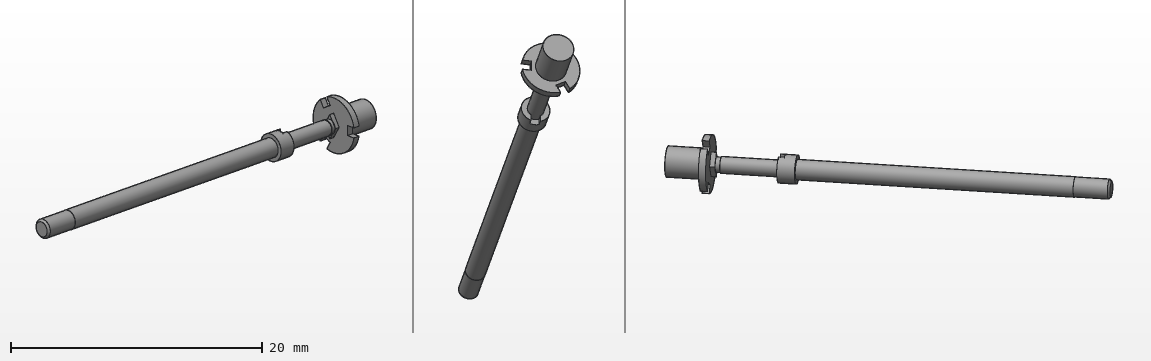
import cadquery as cq

TOTAL_LENGTH = 36.0

HEAD_DIAMETER = 2.52
FLANGE_DIAMETER = 4.7
NECK_DIAMETER = 1.25
SHAFT_DIAMETER = 1.35
COLLAR_DIAMETER = 2.35
BARREL_DIAMETER = 1.65
TIP_DIAMETER = 1.62

HEAD_LENGTH = 2.95
FLANGE_THICKNESS = 0.58
DIAMOND_LENGTH = 0.45
NECK_LENGTH = 0.4
SHAFT_LENGTH = 4.7
COLLAR_LENGTH = 1.45
TIP_LENGTH = 2.95
TIP_CHAMFER = 0.18

NOTCH_COUNT = 3
NOTCH_WIDTH = 0.85
NOTCH_FLOOR_RADIUS = 1.6
NOTCH_REACH = FLANGE_DIAMETER / 2

DIAMOND_WIDTH = 1.25
DIAMOND_HEIGHT = 2.1

SLOT_WIDTH = 0.75
SLOT_LENGTH = 0.45

FLANGE_TOP = TOTAL_LENGTH - HEAD_LENGTH
FLANGE_BOTTOM = FLANGE_TOP - FLANGE_THICKNESS
DIAMOND_BOTTOM = FLANGE_BOTTOM - DIAMOND_LENGTH
NECK_BOTTOM = DIAMOND_BOTTOM - NECK_LENGTH
COLLAR_TOP = NECK_BOTTOM - SHAFT_LENGTH
COLLAR_BOTTOM = COLLAR_TOP - COLLAR_LENGTH


def section_plane(y):
    """Plane across the axis at station y, with local x = X, local y = Z, extruding towards -Y."""
    return cq.Workplane("XZ", origin=(0, y, 0))


def cylinder(diameter, top, bottom):
    return section_plane(top).circle(diameter / 2).extrude(top - bottom)


def notched_flange():
    flange = cylinder(FLANGE_DIAMETER, FLANGE_TOP, FLANGE_BOTTOM)
    notch = (
        section_plane(FLANGE_TOP)
        .center(NOTCH_FLOOR_RADIUS + NOTCH_REACH / 2, 0)
        .rect(NOTCH_REACH, NOTCH_WIDTH)
        .extrude(FLANGE_THICKNESS)
    )
    for index in range(NOTCH_COUNT):
        angle = index * 360 / NOTCH_COUNT
        flange = flange.cut(notch.rotate((0, 0, 0), (0, 1, 0), angle))
    return flange


def diamond_drive():
    corners = [
        (DIAMOND_WIDTH / 2, 0),
        (0, DIAMOND_HEIGHT / 2),
        (-DIAMOND_WIDTH / 2, 0),
        (0, -DIAMOND_HEIGHT / 2),
    ]
    return section_plane(FLANGE_BOTTOM).polyline(corners).close().extrude(DIAMOND_LENGTH)


def slotted_collar():
    collar = cylinder(COLLAR_DIAMETER, COLLAR_TOP, COLLAR_BOTTOM)
    slot = section_plane(COLLAR_TOP).rect(SLOT_WIDTH, COLLAR_DIAMETER).extrude(SLOT_LENGTH)
    return collar.cut(slot)


def barrel_and_tip():
    barrel = cylinder(BARREL_DIAMETER, COLLAR_BOTTOM, TIP_LENGTH)
    tip = cylinder(TIP_DIAMETER, TIP_LENGTH, 0).faces("<Y").chamfer(TIP_CHAMFER)
    return barrel.union(tip)


head = cylinder(HEAD_DIAMETER, TOTAL_LENGTH, FLANGE_TOP)
neck = cylinder(NECK_DIAMETER, DIAMOND_BOTTOM, NECK_BOTTOM)
shaft = cylinder(SHAFT_DIAMETER, NECK_BOTTOM, COLLAR_BOTTOM)

result = (
    head.union(notched_flange())
    .union(diamond_drive())
    .union(neck)
    .union(shaft)
    .union(slotted_collar())
    .union(barrel_and_tip())
)